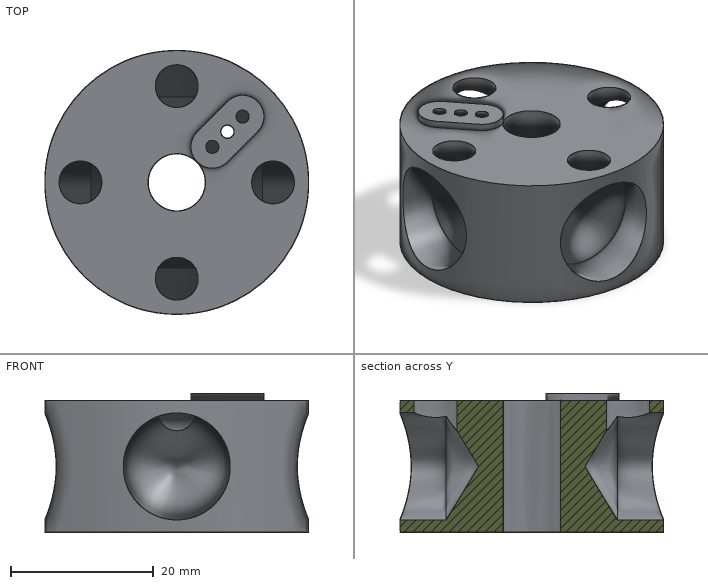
import cadquery as cq
import math

full_turn = 360.0

body_diameter = 37.0
body_height = 18.5
center_bore_diameter = 8.0

port_count = 4
port_diameter = 15.0
port_shoulder_radius = 12.0
drill_point_angle = 118.0
port_height = body_height / 2

feed_diameter = 6.0
feed_circle_radius = 13.5

pad_angle = 45.0
pad_circle_radius = 10.05
pad_width = 6.0
pad_thickness = 1.0
pin_diameter = 1.82
pin_pitch = 3.0
pin_depth = 6.0
pad_length = 2 * pin_pitch + pad_width

body_radius = body_diameter / 2
total_height = body_height + pad_thickness


def make_body():
    return cq.Workplane("XY").circle(body_radius).extrude(body_height)


def make_pad():
    """Oblong pad along the X axis at its distance from the body axis, before rotation."""
    return (
        cq.Workplane("XY", origin=(pad_circle_radius, 0, body_height))
        .slot2D(pad_length, pad_width)
        .extrude(pad_thickness)
    )


def make_pin_holes():
    """Through hole in the middle of the pad with a blind hole on either side, before rotation."""
    top = cq.Workplane("XY", origin=(pad_circle_radius, 0, total_height))
    through_hole = top.circle(pin_diameter / 2).extrude(-total_height)
    blind_holes = (
        top.pushPoints([(-pin_pitch, 0), (pin_pitch, 0)])
        .circle(pin_diameter / 2)
        .extrude(-pin_depth)
    )
    return through_hole.union(blind_holes)


def make_port():
    """Radial bore along +X with its conical bottom, joined by its vertical feed hole."""
    port_radius = port_diameter / 2
    cone_depth = port_radius / math.tan(math.radians(drill_point_angle / 2))
    bore = (
        cq.Workplane("XZ")
        .moveTo(port_shoulder_radius - cone_depth, port_height)
        .lineTo(port_shoulder_radius, port_height + port_radius)
        .lineTo(body_radius, port_height + port_radius)
        .lineTo(body_radius, port_height)
        .close()
        .revolve(full_turn, (0, port_height, 0), (1, port_height, 0))
    )
    feed = (
        cq.Workplane("XY", origin=(feed_circle_radius, 0, port_height))
        .circle(feed_diameter / 2)
        .extrude(body_height - port_height)
    )
    return bore.union(feed)


def turn(shape, angle):
    """Rotate a shape about the body axis by an angle in degrees."""
    return shape.rotate((0, 0, 0), (0, 0, 1), angle)


result = make_body().union(turn(make_pad(), pad_angle))
result = result.cut(cq.Workplane("XY").circle(center_bore_diameter / 2).extrude(total_height))
for index in range(port_count):
    result = result.cut(turn(make_port(), index * full_turn / port_count))
result = result.cut(turn(make_pin_holes(), pad_angle))